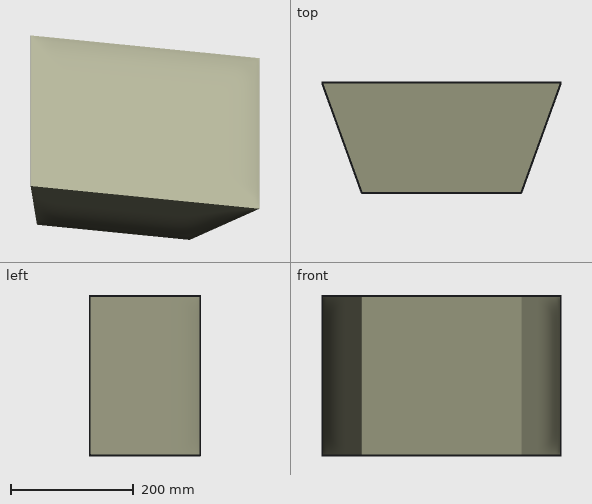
import cadquery as cq
import math

back_width = 389.0
front_width = 260.0
depth = 180.0
height = 260.0
edge_radius = 1.0

back_corner_angle = math.atan2(depth, (back_width - front_width) / 2)
rounding_loss = edge_radius * (1 / math.tan(back_corner_angle / 2) - 1)
sharp_back_width = back_width + 2 * rounding_loss

outline = [
    (-front_width / 2, 0),
    (front_width / 2, 0),
    (sharp_back_width / 2, depth),
    (-sharp_back_width / 2, depth),
]
block = cq.Workplane("XY").polyline(outline).close().extrude(height)

back_horizontal_edges = cq.selectors.AndSelector(
    cq.selectors.ParallelDirSelector(cq.Vector(1, 0, 0)),
    cq.selectors.DirectionMinMaxSelector(cq.Vector(0, 1, 0), True),
)
result = block.edges(cq.selectors.InverseSelector(back_horizontal_edges)).fillet(edge_radius)